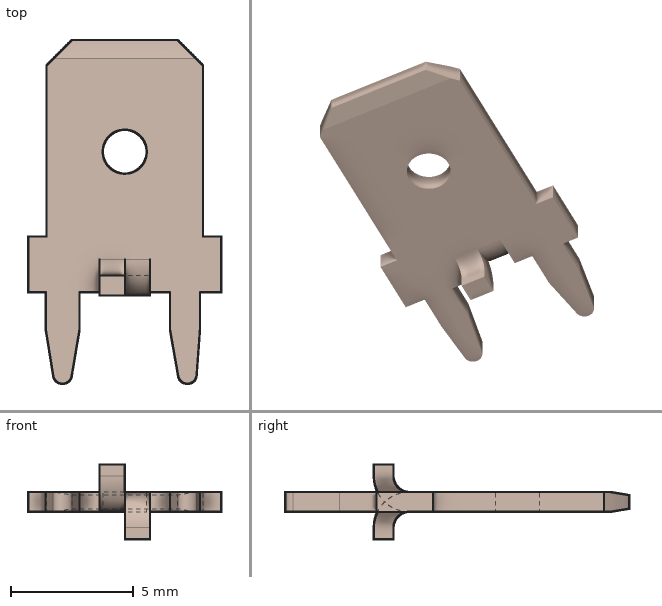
import cadquery as cq

total_length = 14.02
thickness = 0.81
blade_width = 6.38
corner_cut = 1.04
hole_diameter = 1.78
hole_y = 9.46

shoulder_width = 7.87
shoulder_bottom = 3.73
shoulder_top = 6.01

bevel_length = 0.76
bevel_depth = 0.13

leg_taper_y = 2.22
leg_tip_y = 0.31
leg_inner_x = 1.84
left_leg_outer_x = 3.22
left_tip_inner_x = 2.16
left_tip_outer_x = 2.92
right_leg_outer_x = 3.07
right_tip_inner_x = 2.17
right_tip_outer_x = 2.93

tab_width = 1.04
tab_height = 3.05 / 2
bend_inner_radius = 0.65
bend_y = 5.06

half_thickness = thickness / 2


def plate(outline):
    """Extrude a closed XY outline through the sheet thickness."""
    return outline.extrude(half_thickness, both=True)


def blade():
    half_blade = blade_width / 2
    body = plate(
        cq.Workplane("XY")
        .moveTo(-half_blade, shoulder_bottom)
        .lineTo(half_blade, shoulder_bottom)
        .lineTo(half_blade, total_length - corner_cut)
        .lineTo(half_blade - corner_cut, total_length)
        .lineTo(corner_cut - half_blade, total_length)
        .lineTo(-half_blade, total_length - corner_cut)
        .close()
    )
    shoulders = plate(
        cq.Workplane("XY")
        .center(0, (shoulder_bottom + shoulder_top) / 2)
        .rect(shoulder_width, shoulder_top - shoulder_bottom)
    )
    hole = plate(cq.Workplane("XY").center(0, hole_y).circle(hole_diameter / 2))
    return body.union(shoulders).cut(hole)


def bevel_cutter(side):
    """Wedge removed from the blade end; side is +1 for the top face, -1 for the bottom."""
    return (
        cq.Workplane("YZ")
        .moveTo(total_length - bevel_length, side * half_thickness)
        .lineTo(total_length, side * half_thickness)
        .lineTo(total_length, side * (half_thickness - bevel_depth))
        .close()
        .extrude(blade_width / 2, both=True)
    )


def leg(side, outer_x, tip_inner_x, tip_outer_x):
    """Tapered leg with a rounded tip; side is -1 for left, +1 for right."""
    return plate(
        cq.Workplane("XY")
        .moveTo(side * leg_inner_x, shoulder_bottom)
        .lineTo(side * leg_inner_x, leg_taper_y)
        .lineTo(side * tip_inner_x, leg_tip_y)
        .threePointArc((side * (tip_inner_x + tip_outer_x) / 2, 0), (side * tip_outer_x, leg_tip_y))
        .lineTo(side * outer_x, leg_taper_y)
        .lineTo(side * outer_x, shoulder_bottom)
        .close()
    )


def tab_window():
    """Opening in the sheet from which both tabs are bent."""
    return plate(
        cq.Workplane("XY")
        .center(0, (shoulder_bottom + bend_y) / 2)
        .rect(2 * tab_width, bend_y - shoulder_bottom)
    )


def tab(side):
    """Tab curling out of the sheet; +1 bends up on the -X half, -1 bends down on the +X half."""
    bend_outer_radius = bend_inner_radius + thickness
    bend_z = half_thickness + bend_inner_radius
    diagonal = 0.5 ** 0.5
    inner_reach = bend_inner_radius * diagonal
    outer_reach = bend_outer_radius * diagonal
    return (
        cq.Workplane("YZ")
        .moveTo(bend_y, side * half_thickness)
        .threePointArc(
            (bend_y - inner_reach, side * (bend_z - inner_reach)),
            (bend_y - bend_inner_radius, side * bend_z),
        )
        .lineTo(bend_y - bend_inner_radius, side * tab_height)
        .lineTo(bend_y - bend_outer_radius, side * tab_height)
        .lineTo(bend_y - bend_outer_radius, side * bend_z)
        .threePointArc(
            (bend_y - outer_reach, side * (bend_z - outer_reach)),
            (bend_y, -side * half_thickness),
        )
        .close()
        .extrude(-side * tab_width)
    )


result = blade().cut(tab_window())
result = result.union(leg(-1, left_leg_outer_x, left_tip_inner_x, left_tip_outer_x))
result = result.union(leg(1, right_leg_outer_x, right_tip_inner_x, right_tip_outer_x))
for face_side in (1, -1):
    result = result.cut(bevel_cutter(face_side)).union(tab(face_side))